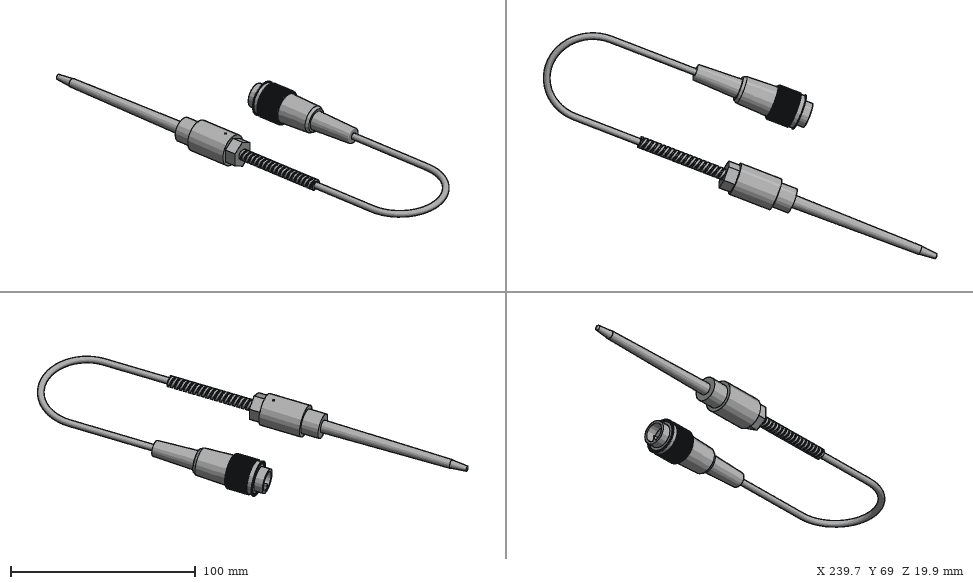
import cadquery as cq
import math

axis_spacing = 50.0
cable_insertion = 6.0

tip_length = 9.75
tip_end_diameter = 3.0
tip_root_diameter = 4.7
dome_height = 0.4
dome_radius = (dome_height**2 + (tip_end_diameter / 2) ** 2) / (2 * dome_height)

collar_start = 82.6
tube_front_diameter = 5.0
tube_diameter = 7.0

housing_start = 84.9
boss_length = 10.0
boss_diameter = 14.0
barrel_length = 23.8
barrel_diameter = 18.0
hex_length = 6.5
hex_across_flats = 13.6
vent_diameter = 1.0
vent_depth = 3.0
vent_from_barrel_end = 5.0

barrel_start = housing_start + boss_length
barrel_end = barrel_start + barrel_length
housing_end = barrel_end + hex_length

spring_diameter = 6.3
spring_length = 49.6
strand_count = 2
strand_pitch = 2.6
strand_width = 1.7
spring_valley_diameter = 4.2

cable_diameter = 3.7
bend_radius = axis_spacing / 2
total_length = 239.69
bend_start = total_length - bend_radius - cable_diameter / 2

shell_start = 96.9
nose_diameter = 14.0
bore_diameter = 11.0
bore_depth = 6.0
socket_diameter = 1.5
pin_diameter = 1.0
socket_circle_radius = 3.3
socket_depth = 4.0
key_height = 3.2
key_width = 1.0
key_root_fillet = 1.2

ring_start = 101.9
ring_end = 118.2
ring_diameter = 19.9
lip_length = 0.4
band_end = 105.0
band_diameter = 18.9
ring_chamfer = 0.9
knurl_tooth_count = 100
lip_tooth_count = 60
lip_root_diameter = 17.1

grip_end = 137.8
grip_front_diameter = 17.1
grip_rear_diameter = 15.6
grip_chamfer_length = 1.8
grip_end_diameter = 13.6
sleeve_front_diameter = 11.0
sleeve_rear_diameter = 9.0
sleeve_end = 162.9
sleeve_fillet = 0.5


def turned(points, y=0.0):
    """Solid of revolution about the line parallel to X at the given y, from (x, radius) points."""
    return (
        cq.Workplane("XY", origin=(0, y, 0))
        .polyline([(points[0][0], 0), *points, (points[-1][0], 0)])
        .close()
        .revolve(360, (0, 0, 0), (1, 0, 0))
    )


def rod(start, end, diameter, y=0.0):
    return turned([(start, diameter / 2), (end, diameter / 2)], y)


def make_tip():
    return (
        cq.Workplane("XY")
        .moveTo(0, 0)
        .radiusArc((dome_height, tip_end_diameter / 2), dome_radius)
        .lineTo(tip_length, tip_root_diameter / 2)
        .lineTo(tip_length, 0)
        .close()
        .revolve(360, (0, 0, 0), (1, 0, 0))
    )


def make_tube():
    return turned([
        (tip_length, tube_front_diameter / 2),
        (collar_start, tube_diameter / 2),
        (housing_start, tube_diameter / 2),
    ])


def make_housing():
    body = turned([
        (housing_start, boss_diameter / 2),
        (barrel_start, boss_diameter / 2),
        (barrel_start, barrel_diameter / 2),
        (barrel_end, barrel_diameter / 2),
    ])
    hexagon = (
        cq.Workplane("YZ", origin=(barrel_end, 0, 0))
        .polygon(6, hex_across_flats, circumscribed=True)
        .extrude(hex_length)
    )
    vent = (
        cq.Workplane("XY", origin=(barrel_end - vent_from_barrel_end, 0, barrel_diameter / 2))
        .circle(vent_diameter / 2)
        .extrude(-vent_depth)
    )
    return body.union(hexagon).cut(vent).cut(rod(housing_end - cable_insertion, housing_end, cable_diameter))


def make_spring():
    """Left-handed multi-start winding: its cross-section twisted along the probe axis."""
    crest = spring_diameter / 2
    valley = spring_valley_diameter / 2
    sector = 2 * math.pi / strand_count
    crest_half = sector * strand_width / strand_pitch / 2

    def at(radius, angle):
        return (radius * math.cos(angle), radius * math.sin(angle))

    section = cq.Workplane("YZ", origin=(housing_end, 0, 0)).moveTo(*at(crest, -crest_half))
    for strand in range(strand_count):
        middle = strand * sector
        section = (
            section.threePointArc(at(crest, middle), at(crest, middle + crest_half))
            .lineTo(*at(valley, middle + crest_half))
            .threePointArc(at(valley, middle + sector / 2), at(valley, middle + sector - crest_half))
        )
        if strand < strand_count - 1:
            section = section.lineTo(*at(crest, middle + sector - crest_half))
    twist = -360 * spring_length / (strand_count * strand_pitch)
    winding = section.close().twistExtrude(spring_length, twist)
    return winding.cut(rod(housing_end, housing_end + spring_length, cable_diameter))


def make_cable():
    path = (
        cq.Workplane("XY")
        .moveTo(housing_end - cable_insertion, 0)
        .lineTo(bend_start, 0)
        .threePointArc((bend_start + bend_radius, bend_radius), (bend_start, axis_spacing))
        .lineTo(sleeve_end - cable_insertion, axis_spacing)
    )
    return (
        cq.Workplane("YZ", origin=(housing_end - cable_insertion, 0, 0))
        .circle(cable_diameter / 2)
        .sweep(path)
    )


def make_shell():
    shell = rod(shell_start, ring_end, nose_diameter, axis_spacing)
    shell = shell.cut(rod(shell_start, shell_start + bore_depth, bore_diameter, axis_spacing))
    floor = cq.Workplane("YZ", origin=(shell_start + bore_depth, axis_spacing, 0))
    r = socket_circle_radius
    sockets = (
        floor.pushPoints([(-r, 0), (0, r), (r, 0)])
        .circle(socket_diameter / 2)
        .circle(pin_diameter / 2)
        .extrude(socket_depth)
    )
    return shell.cut(sockets).union(make_key(floor))


def make_key(floor):
    """Round-topped polarizing rib at the bottom of the bore, flared where it meets the wall."""
    half = key_width / 2
    flare = key_root_fillet
    middle_of_wall = -(bore_diameter + nose_diameter) / 4
    root = -bore_diameter / 2
    tip = root + key_height
    return (
        floor.moveTo(-half - flare, middle_of_wall)
        .lineTo(half + flare, middle_of_wall)
        .lineTo(half + flare, root)
        .radiusArc((half, root + flare), flare)
        .lineTo(half, tip - half)
        .threePointArc((0, tip), (-half, tip - half))
        .lineTo(-half, root + flare)
        .radiusArc((-half - flare, root), flare)
        .close()
        .extrude(-bore_depth)
    )


def toothed_disc(start, end, tip_radius, root_radius, tooth_count):
    """Disc with pointed teeth all around, running along the plug axis."""
    radii = (tip_radius, root_radius)
    step = math.pi / tooth_count
    outline = [
        (radii[k % 2] * math.cos(k * step), radii[k % 2] * math.sin(k * step)) for k in range(2 * tooth_count)
    ]
    return cq.Workplane("YZ", origin=(start, axis_spacing, 0)).polyline(outline).close().extrude(end - start)


def make_ring():
    tip_radius = ring_diameter / 2
    lip_end = ring_start + lip_length
    lip = toothed_disc(ring_start, lip_end, tip_radius, lip_root_diameter / 2, lip_tooth_count)
    band = rod(lip_end, band_end, band_diameter, axis_spacing)
    chamfered_blank = turned([
        (band_end, tip_radius),
        (ring_end - ring_chamfer, tip_radius),
        (ring_end, tip_radius - ring_chamfer),
    ], axis_spacing)
    knurl = toothed_disc(band_end, ring_end, tip_radius, band_diameter / 2, knurl_tooth_count)
    ring = knurl.intersect(chamfered_blank).union(band).union(lip)
    return ring.cut(rod(ring_start, ring_end, nose_diameter, axis_spacing))


def make_grip():
    grip = turned([
        (ring_end, grip_front_diameter / 2),
        (grip_end - grip_chamfer_length, grip_rear_diameter / 2),
        (grip_end, grip_end_diameter / 2),
        (grip_end, sleeve_front_diameter / 2),
        (sleeve_end, sleeve_rear_diameter / 2),
    ], axis_spacing)
    grip = grip.faces(">X").edges().fillet(sleeve_fillet)
    return grip.cut(rod(sleeve_end - cable_insertion, sleeve_end, cable_diameter, axis_spacing))


tip = make_tip()
tube = make_tube()
housing = make_housing()
spring = make_spring()
cable = make_cable()
shell = make_shell()
ring = make_ring()
grip = make_grip()

result = cq.Compound.makeCompound([
    tip.val(),
    tube.val(),
    housing.val(),
    spring.val(),
    cable.val(),
    shell.val(),
    ring.val(),
    grip.val(),
])